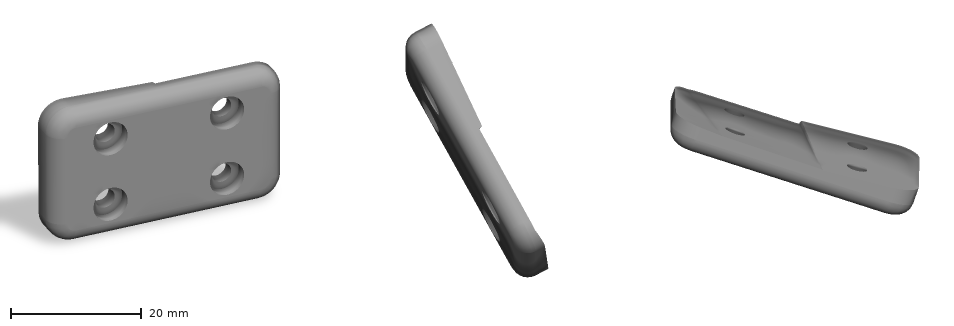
import cadquery as cq

length = 39.0
height = 23.0
corner_radius = 4.0
edge_radius = 2.5
tilt = 10.0

hole_diameter = 3.2
bore_diameter = 5.7
bore_depth = 2.0
hole_spacing_y = 19.5
hole_spacing_z = 11.5

step_run = 0.25
lower_step = -4.4
upper_step = -0.9
lower_crease = 11.92
upper_crease = 17.45
lower_rim = [
    (-length / 2, 5.05),
    (lower_step, 4.05),
    (lower_step + step_run, 4.1),
    (lower_crease, 4.3),
    (length / 2, 4.85),
]
upper_rim = [
    (-length / 2, 5.45),
    (upper_step, 4.2),
    (upper_step + step_run, 3.6),
    (upper_crease, 3.57),
    (length / 2, 3.95),
]


def rim_points(rim):
    """Close a rim with the straight outer face."""
    inner = [(-thickness, y) for y, thickness in rim]
    return [(0, -length / 2)] + inner + [(0, length / 2)]


def faceted_slab():
    """Rectangular slab whose inner face is ruled between the lower and upper rims."""
    return (
        cq.Workplane("XY", origin=(0, 0, -height / 2))
        .polyline(rim_points(lower_rim))
        .close()
        .workplane(offset=height)
        .polyline(rim_points(upper_rim))
        .close()
        .loft(ruled=True)
    )


def rounded_envelope():
    """Block with rounded corners and a rounded rim on its outer face."""
    depth = 2 * max(thickness for _, thickness in lower_rim + upper_rim)
    return (
        cq.Workplane("YZ", origin=(-depth, 0, 0))
        .rect(length, height)
        .extrude(depth)
        .edges("|X")
        .fillet(corner_radius)
        .faces(">X")
        .edges()
        .fillet(edge_radius)
    )


plate = faceted_slab().intersect(rounded_envelope())

plate = (
    plate.copyWorkplane(cq.Workplane("YZ"))
    .rarray(hole_spacing_y, hole_spacing_z, 2, 2)
    .cboreHole(hole_diameter, bore_diameter, bore_depth)
)

result = plate.rotate((0, 0, 0), (0, 0, 1), -tilt)